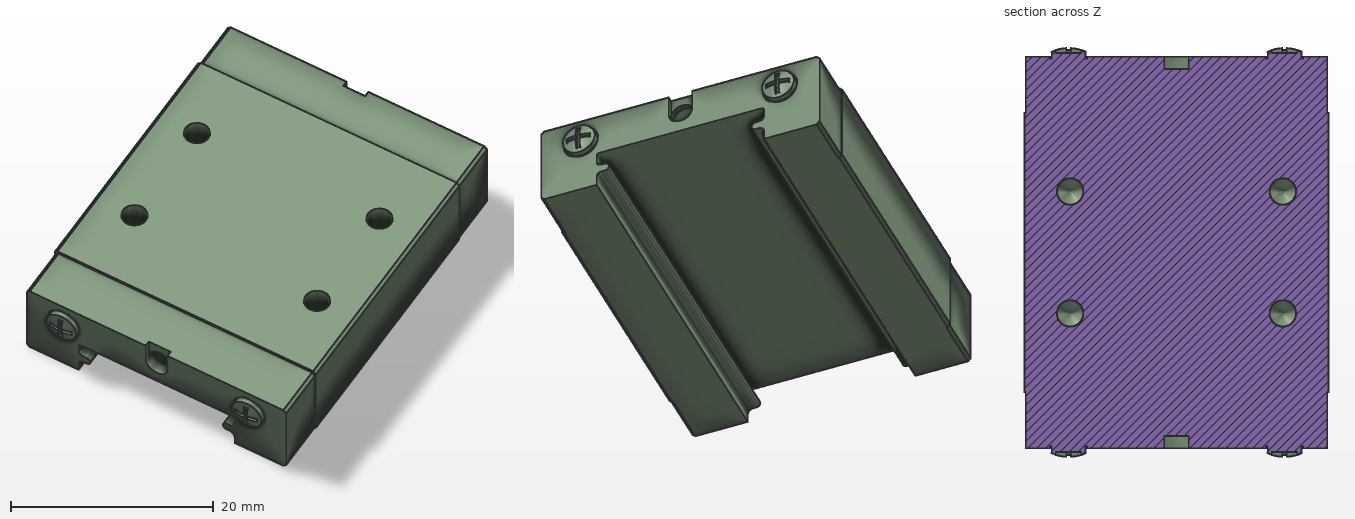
import cadquery as cq
import math

length = 40.3
body_width = 30.0
body_height = 9.1
body_length = 27.55
edge_chamfer = 0.32

cap_width = 29.75
cap_height = 8.83
caps_length = 38.6

channel_half_width = 8.95
channel_height = 4.07
channel_corner_radius = 0.32
tooth_tip_x = 7.6
tooth_bottom = 1.57
tooth_top = 2.45
tooth_root_radius = 0.55

hole_diameter = 2.58
hole_depth = 4.05
hole_pitch_x = 20.95
hole_pitch_y = 12.0
drill_tip_angle = 118.0

notch_width = 2.5
notch_depth = 0.6
notch_center_z = 6.6
notch_bore_depth = 1.2

screw_x = 10.65
screw_z = 6.15
screw_diameter = 3.4
screw_clearance_diameter = 3.65
screw_clearance_depth = 0.2
screw_height = (length - caps_length) / 2
screw_rim_height = 0.5
recess_length = 2.5
recess_width = 0.45
recess_depth = 0.5

cap_end_y = caps_length / 2


def chamfered_block(width, depth, height):
    """Block standing on Z = 0 with its four lengthwise edges chamfered."""
    block = cq.Workplane("XY").box(width, depth, height, centered=(True, True, False))
    return block.edges("|Y").chamfer(edge_chamfer)


def rail_channel():
    """Solid to remove for the rail, with a tooth left standing on each wall."""
    wall = channel_half_width
    root = wall - tooth_root_radius
    tip_radius = (tooth_top - tooth_bottom) / 2
    tip = tooth_tip_x + tip_radius
    half_outline = (
        cq.Workplane("XZ", origin=(0, length / 2, 0))
        .lineTo(wall, 0)
        .lineTo(wall, tooth_bottom - tooth_root_radius)
        .radiusArc((root, tooth_bottom), -tooth_root_radius)
        .lineTo(tip, tooth_bottom)
        .threePointArc((tooth_tip_x, tooth_bottom + tip_radius), (tip, tooth_top))
        .lineTo(root, tooth_top)
        .radiusArc((wall, tooth_top + tooth_root_radius), -tooth_root_radius)
        .lineTo(wall, channel_height - channel_corner_radius)
        .radiusArc((wall - channel_corner_radius, channel_height), -channel_corner_radius)
        .lineTo(0, channel_height)
        .close()
    )
    half_channel = half_outline.extrude(length)
    return half_channel.union(half_channel.mirror("YZ"))


def end_notch():
    """Notch in the front cap face, running out of the top, with a bore at its round end."""
    rise = body_height - notch_center_z
    slot_floor_y = notch_depth - cap_end_y
    bore = (
        cq.Workplane("XZ", origin=(0, notch_bore_depth - cap_end_y, notch_center_z))
        .circle(notch_width / 2)
        .extrude(notch_bore_depth)
    )
    slot = (
        cq.Workplane("XZ", origin=(0, slot_floor_y, notch_center_z + rise / 2))
        .rect(notch_width, rise)
        .extrude(notch_depth)
    )
    return bore.union(slot)


def mounting_hole():
    """Drilled hole with a conical tip, its mouth centred on the origin."""
    radius = hole_diameter / 2
    tip_length = radius / math.tan(math.radians(drill_tip_angle / 2))
    return (
        cq.Workplane("XZ")
        .lineTo(radius, 0)
        .lineTo(radius, -hole_depth)
        .lineTo(0, -hole_depth - tip_length)
        .close()
        .revolve(360, (0, 0, 0), (0, 1, 0))
    )


def screw_seat():
    """Clearance bore for a screw head in the front cap face."""
    return (
        cq.Workplane("XZ", origin=(0, screw_clearance_depth - cap_end_y, 0))
        .circle(screw_clearance_diameter / 2)
        .extrude(screw_clearance_depth)
    )


def screw_head():
    """Screw head standing on the floor of its front clearance bore, pointing towards -Y."""
    radius = screw_diameter / 2
    crest_radius = recess_width / math.sqrt(2)
    crest_rise = screw_height - screw_rim_height
    crest_to_center = (radius**2 + crest_rise**2 - crest_radius**2) / (2 * crest_rise)
    dome_radius = math.hypot(crest_radius, crest_to_center)
    apex_height = screw_height + dome_radius - crest_to_center
    head = (
        cq.Workplane("XY")
        .moveTo(0, screw_clearance_depth)
        .lineTo(radius, screw_clearance_depth)
        .lineTo(radius, -screw_rim_height)
        .radiusArc((0, -apex_height), dome_radius)
        .close()
        .revolve(360, (0, 0, 0), (0, 1, 0))
    )
    recess_start = recess_depth - screw_height
    for size_x, size_z in ((recess_length, recess_width), (recess_width, recess_length)):
        arm = (
            cq.Workplane("XZ", origin=(0, recess_start, 0))
            .rect(size_x, size_z)
            .extrude(screw_height)
        )
        head = head.cut(arm)
    return head.translate((0, -cap_end_y, 0))


result = chamfered_block(body_width, body_length, body_height)
result = result.union(chamfered_block(cap_width, caps_length, cap_height))
result = result.cut(rail_channel())

for x in (-hole_pitch_x / 2, hole_pitch_x / 2):
    for y in (-hole_pitch_y / 2, hole_pitch_y / 2):
        result = result.cut(mounting_hole().translate((x, y, body_height)))

notch = end_notch()
result = result.cut(notch).cut(notch.mirror("XZ"))

for x in (-screw_x, screw_x):
    seat = screw_seat().translate((x, 0, screw_z))
    result = result.cut(seat).cut(seat.mirror("XZ"))
    screw = screw_head().translate((x, 0, screw_z))
    result = result.union(screw).union(screw.mirror("XZ"))